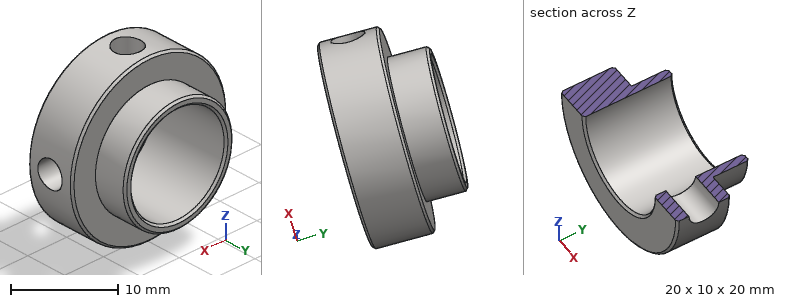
import cadquery as cq

collar_diameter = 20.0
collar_length = 6.0

hub_diameter = 14.0
hub_length = 4.0

bore_diameter = 12.0
screw_hole_diameter = 3.3
edge_chamfer = 0.25

total_length = collar_length + hub_length
screw_hole_y = collar_length / 2


def chamfered_cylinder(diameter, start_y, length):
    """Solid cylinder along +Y with both rims chamfered."""
    plane = cq.Workplane("XZ", origin=(0, start_y, 0))
    return plane.circle(diameter / 2).extrude(-length).edges("%CIRCLE").chamfer(edge_chamfer)


def make_body():
    """Collar and hub joined; the hub core starts inside the collar."""
    collar = chamfered_cylinder(collar_diameter, 0, collar_length)
    hub = chamfered_cylinder(hub_diameter, screw_hole_y, total_length - screw_hole_y)
    return collar.union(hub)


def cut_bore(body):
    """Through bore along Y, chamfered at both mouths."""
    bore = cq.Workplane("XZ").circle(bore_diameter / 2).extrude(-total_length)
    mouth_radius = bore_diameter / 2 + edge_chamfer
    front_mouth = cq.Solid.makeCone(
        mouth_radius, bore_diameter / 2, edge_chamfer,
        pnt=cq.Vector(0, 0, 0), dir=cq.Vector(0, 1, 0),
    )
    back_mouth = cq.Solid.makeCone(
        mouth_radius, bore_diameter / 2, edge_chamfer,
        pnt=cq.Vector(0, total_length, 0), dir=cq.Vector(0, -1, 0),
    )
    return body.cut(bore).cut(cq.Workplane(front_mouth)).cut(cq.Workplane(back_mouth))


def cut_screw_holes(body):
    """Two radial holes, a quarter turn apart, from the collar rim into the bore."""
    for direction in (cq.Vector(0, 0, 1), cq.Vector(1, 0, 0)):
        hole = cq.Solid.makeCylinder(
            screw_hole_diameter / 2, collar_diameter / 2,
            pnt=cq.Vector(0, screw_hole_y, 0), dir=direction,
        )
        body = body.cut(cq.Workplane(hole))
    return body


result = cut_screw_holes(cut_bore(make_body()))